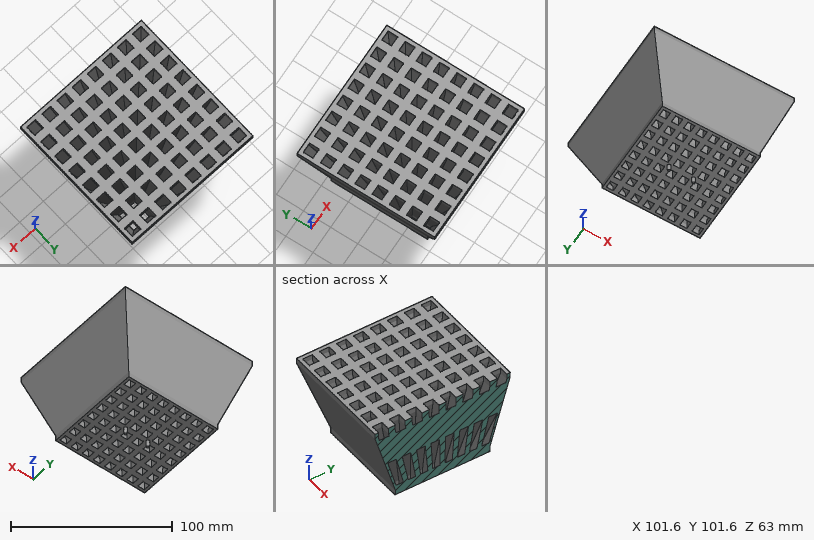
import cadquery as cq

cells_per_side = 8
top_pitch = 12.7
bottom_pitch = 8.9
top_opening = 7.12
bottom_opening = 5.0

plate_thickness = 4.0
taper_height = 50.0
top_side = cells_per_side * top_pitch
bottom_side = cells_per_side * bottom_pitch

bottom_z = 0.0
taper_base_z = bottom_z + plate_thickness
taper_top_z = taper_base_z + taper_height
top_z = taper_top_z + plate_thickness

pin_offset = bottom_pitch
pin_diameter = 2.5
pin_shank_length = 3.0
tip_length = 2.0
tip_end_diameter = 1.6

middle = (cells_per_side - 1) / 2
steps = [index - middle for index in range(cells_per_side)]
cells = [(column, row) for column in steps for row in steps]


def square_corners(side, x, y, z):
    """Corners of a horizontal square of the given side, centred on (x, y, z)."""
    half = side / 2
    return [
        cq.Vector(x - half, y - half, z),
        cq.Vector(x + half, y - half, z),
        cq.Vector(x + half, y + half, z),
        cq.Vector(x - half, y + half, z),
    ]


def straight_taper_straight(lower_side, upper_side, column=0, row=0):
    """Stacked squares of a straight base, a taper leaning with its grid place, and a straight top."""
    lower = (lower_side, column * bottom_pitch, row * bottom_pitch)
    upper = (upper_side, column * top_pitch, row * top_pitch)
    return [
        square_corners(*lower, bottom_z),
        square_corners(*lower, taper_base_z),
        square_corners(*upper, taper_top_z),
        square_corners(*upper, top_z),
    ]


def polygon(corners):
    """Closed wire through the corners."""
    return cq.Wire.makePolygon(corners, close=True)


def side_walls(squares):
    """Flat walls joining each square of a stack to the next one up."""
    walls = []
    for below, above in zip(squares, squares[1:]):
        for i in range(len(below)):
            corners = [below[i - 1], below[i], above[i], above[i - 1]]
            walls.append(cq.Face.makeFromWires(polygon(corners)))
    return walls


def channelled_body():
    """Body and its channels, closed by the perforated bottom and top faces."""
    outside = straight_taper_straight(bottom_side, top_side)
    channels = [straight_taper_straight(bottom_opening, top_opening, column, row) for column, row in cells]
    faces = side_walls(outside)
    for channel in channels:
        faces += side_walls(channel)
    for level in (0, -1):
        openings = [polygon(channel[level]) for channel in channels]
        faces.append(cq.Face.makeFromWires(polygon(outside[level]), openings))
    return cq.Solid.makeSolid(cq.Shell.makeShell(faces)).fix()


def locating_pin(x):
    """Round pin hanging from the bottom plate, with a conical tip."""
    shank = cq.Workplane("XY", origin=(x, 0, bottom_z)).circle(pin_diameter / 2).extrude(-pin_shank_length)
    tip = cq.Solid.makeCone(
        pin_diameter / 2,
        tip_end_diameter / 2,
        tip_length,
        pnt=cq.Vector(x, 0, bottom_z - pin_shank_length),
        dir=cq.Vector(0, 0, -1),
    )
    return shank.union(cq.Workplane(tip))


body = cq.Workplane(channelled_body())
for pin_x in (-pin_offset, pin_offset):
    body = body.union(locating_pin(pin_x))

result = body.solids()